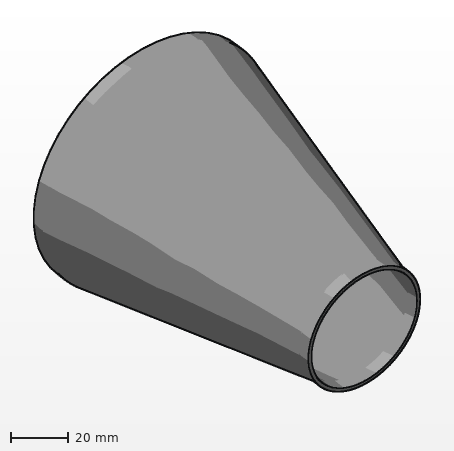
import cadquery as cq

length = 120.0
collar_length = 5.0
large_outer_radius = 101.6 / 2
large_inner_radius = 97.5 / 2
small_outer_radius = 50.8 / 2
small_inner_radius = 47.8 / 2
bend_radius = 1.5

cone_start = collar_length
cone_end = length - collar_length

wall_section = (
    cq.Workplane("XY")
    .moveTo(0, large_inner_radius)
    .lineTo(0, large_outer_radius)
    .lineTo(cone_start, large_outer_radius)
    .lineTo(cone_end, small_outer_radius)
    .lineTo(length, small_outer_radius)
    .lineTo(length, small_inner_radius)
    .lineTo(cone_end, small_inner_radius)
    .lineTo(cone_start, large_inner_radius)
    .close()
)
reducer = wall_section.revolve(360, (0, 0, 0), (1, 0, 0))


def is_outer_bend(edge):
    """Tell whether a circular edge is where the cone meets a collar on the outside."""
    tolerance = 0.01
    bends = [(cone_start, large_outer_radius), (cone_end, small_outer_radius)]
    return any(
        abs(edge.arcCenter().x - x) < tolerance and abs(edge.radius() - radius) < tolerance
        for x, radius in bends
    )


result = reducer.edges("%CIRCLE").filter(is_outer_bend).fillet(bend_radius)